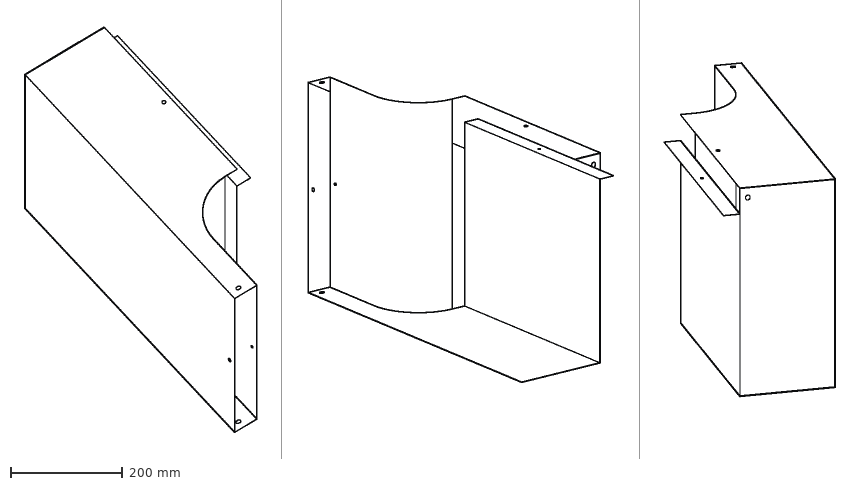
import cadquery as cq

length = 631.0
height = 400.0
overall_depth = 209.0
sheet = 1.0
corner_gap = 0.5
wall_setback = 0.5

flange_width = 30.0
body_depth = overall_depth - flange_width
body_length = 400.0
tail_depth = 51.0
notch_radius = 100.0
notch_start_y = tail_depth + notch_radius
sheet_notch_radius = notch_radius + sheet
notch_end_x = body_length + sheet_notch_radius

opening_height = 50.0
flange_top = height - opening_height

clearance_diameter = 7.0
pilot_diameter = 5.0
hole_inset = 15.0
wall_slot_drop = 20.0
wall_slot_length = 9.5
wall_slot_width = 8.0
tail_slot_width = 6.0
tail_slot_length = 9.5
tail_slot_y = 20.0


def box(x_range, y_range, z_range):
    """Axis-aligned box between the given limits."""
    corner = (x_range[0], y_range[0], z_range[0])
    size = (x_range[1] - x_range[0], y_range[1] - y_range[0], z_range[1] - z_range[0])
    return cq.Workplane("XY").box(*size, centered=False).translate(corner)


def plan_sheet(bottom):
    """Top or bottom sheet with the rounded notch."""
    return (
        cq.Workplane("XY", origin=(0, 0, bottom))
        .lineTo(length, 0)
        .lineTo(length, tail_depth - sheet)
        .lineTo(notch_end_x, tail_depth - sheet)
        .radiusArc((body_length, notch_start_y), sheet_notch_radius)
        .lineTo(body_length, body_depth)
        .lineTo(0, body_depth)
        .close()
        .extrude(sheet)
    )


def notch_wall():
    """Notch wall and tail back, against the sheet edges and just short of their outer faces."""
    wall_end = length - corner_gap
    return (
        cq.Workplane("XY", origin=(0, 0, wall_setback))
        .moveTo(wall_end, tail_depth)
        .lineTo(notch_end_x, tail_depth)
        .radiusArc((body_length + sheet, notch_start_y), notch_radius)
        .lineTo(body_length, notch_start_y)
        .radiusArc((notch_end_x, tail_depth - sheet), -sheet_notch_radius)
        .lineTo(wall_end, tail_depth - sheet)
        .close()
        .extrude(height - 2 * wall_setback)
    )


def left_wall():
    """Left wall, joined to the front and separated from the sheets by bend gaps."""
    margin = sheet + corner_gap
    return box((0, sheet), (0, body_depth), (margin, height - margin))


def upright_slot(x, y, width, slot_length, bottom, depth):
    """Cutter along Z for a slot elongated in Y."""
    return cq.Workplane("XY", origin=(x, y, bottom)).slot2D(slot_length, width, 90).extrude(depth)


def upright_hole(x, y, diameter, bottom):
    """Cutter along Z through one sheet."""
    return cq.Workplane("XY", origin=(x, y, bottom)).circle(diameter / 2).extrude(sheet)


def crosswise_hole(diameter, back):
    """Cutter along Y through one sheet of the tail, ending at the given back face."""
    origin = (length - hole_inset, back, height / 2)
    return cq.Workplane("XZ", origin=origin).circle(diameter / 2).extrude(sheet)


cover = box((0, length), (0, sheet), (0, height))
cover = cover.union(plan_sheet(0)).union(plan_sheet(height - sheet))
cover = cover.union(notch_wall())
cover = cover.union(left_wall())

rear_wall = box((sheet, body_length), (body_depth - sheet, body_depth), (0, flange_top))
flange = box((0, body_length), (body_depth, overall_depth), (flange_top - sheet, flange_top))
cover = cover.union(rear_wall).union(flange)

middle_x = body_length / 2
cover = cover.cut(upright_hole(middle_x, body_depth - hole_inset, clearance_diameter, height - sheet))
cover = cover.cut(upright_hole(middle_x, body_depth + hole_inset, pilot_diameter, flange_top - sheet))

tail_slot = upright_slot(length - hole_inset, tail_slot_y, tail_slot_width, tail_slot_length, 0, height)
cover = cover.cut(tail_slot)

cover = cover.cut(crosswise_hole(clearance_diameter, sheet))
cover = cover.cut(crosswise_hole(pilot_diameter, tail_depth))

wall_slot = (
    cq.Workplane("YZ", origin=(0, body_depth - hole_inset, height - wall_slot_drop))
    .slot2D(wall_slot_length, wall_slot_width, 90)
    .extrude(sheet)
)
result = cover.cut(wall_slot)